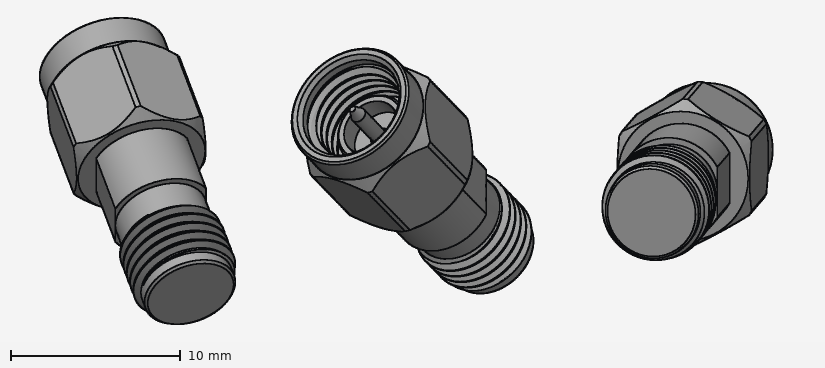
import cadquery as cq
import math

TOTAL_LENGTH = 18.75

COLLAR_DIA = 7.76
COLLAR_LENGTH = 2.0
COLLAR_CHAMFER = 0.13
HEX_SIDES = 6
HEX_ACROSS_FLATS = 7.94
HEX_CORNER_DIA = 8.99
HEX_END = 8.37
HEX_FACE_DIA = 7.8
HEX_BEVEL_LENGTH = 0.73

MOUTH_DIA = 6.85
MOUTH_DEPTH = 0.25
NUT_FLOOR = 4.2
NUT_THREAD_START = 0.8

SLEEVE_FRONT = 2.78
SLEEVE_DIA = 4.45
SLEEVE_CHAMFER = 0.13
SLEEVE_BORE_DIA = 3.5
PIN_DIA = 0.94
PIN_FRONT = 0.43
PIN_TIP_DIA = 0.38
PIN_TIP_LENGTH = 0.75
PIN_SHOULDER_DIA = 1.19
PIN_SHOULDER_LENGTH = 0.2

BODY_END = 12.43
BODY_DIA = 6.35
BODY_FLATS = 5.58
NECK_CHAMFER = 0.15

THREAD_MAJOR_DIA = 6.35
THREAD_MINOR_DIA = 5.58
INCH = 25.4
THREADS_PER_INCH = 36
THREAD_PITCH = INCH / THREADS_PER_INCH
THREAD_HALF_ANGLE = math.radians(30)
THREAD_CREST = 0.1
THREAD_OVERLAP = 0.05
JACK_THREAD_START = 14.19
JACK_THREAD_END = 17.97
JACK_CREST_AT_TOP = 14.57
NUT_GROOVE_AT_TOP = 1.0


def revolve_about_x(points):
    """Solid of revolution about X from a closed (x, radius) outline."""
    return cq.Workplane("XY").polyline(points).close().revolve(360, (0, 0, 0), (1, 0, 0))


def cylinder(start, end, diameter):
    """Round bar about X from start to end."""
    return cq.Workplane("YZ", origin=(start, 0, 0)).circle(diameter / 2).extrude(end - start)


def helical_ridge(start, end, crest_at_top):
    """Right-handed V ridge covering start..end, with one crest at +Z where x = crest_at_top."""
    major = THREAD_MAJOR_DIA / 2
    root = THREAD_MINOR_DIA / 2 - THREAD_OVERLAP
    half_crest = THREAD_CREST / 2
    half_base = half_crest + (major - root) * math.tan(THREAD_HALF_ANGLE)

    crest_at_y = crest_at_top - THREAD_PITCH / 4
    turns_before = math.ceil((crest_at_y - start) / THREAD_PITCH) + 1
    first = crest_at_y - turns_before * THREAD_PITCH
    turns = math.ceil((end - first) / THREAD_PITCH) + 1

    path = cq.Workplane("XY").add(cq.Wire.makeHelix(THREAD_PITCH, turns * THREAD_PITCH, root))
    ridge = (
        cq.Workplane("XZ")
        .polyline([(root, -half_base), (major, -half_crest), (major, half_crest), (root, half_base)])
        .close()
        .sweep(path, isFrenet=True)
    )
    ridge = ridge.rotate((0, 0, 0), (1, 1, 1), 120)
    return ridge.translate((first, 0, 0))


def make_nut():
    """Round collar and hexagon, with the hexagon corners turned round and bevelled at both ends."""
    face_radius = HEX_FACE_DIA / 2
    corner_radius = HEX_CORNER_DIA / 2
    envelope = revolve_about_x([
        (COLLAR_LENGTH, 0),
        (COLLAR_LENGTH, face_radius),
        (COLLAR_LENGTH + HEX_BEVEL_LENGTH, corner_radius),
        (HEX_END - HEX_BEVEL_LENGTH, corner_radius),
        (HEX_END, face_radius),
        (HEX_END, 0),
    ])
    across_corners = HEX_ACROSS_FLATS / math.cos(math.pi / HEX_SIDES)
    hexagon = (
        cq.Workplane("YZ", origin=(COLLAR_LENGTH, 0, 0))
        .transformed(rotate=(0, 0, 90))
        .polygon(HEX_SIDES, across_corners)
        .extrude(HEX_END - COLLAR_LENGTH)
        .intersect(envelope)
    )
    collar = cylinder(0, COLLAR_LENGTH, COLLAR_DIA).faces("<X").chamfer(COLLAR_CHAMFER)
    return collar.union(hexagon)


def make_nut_cavity():
    """Chamfered mouth, plain bore, 45 degree lead-in and threaded bore with a flat floor."""
    major = THREAD_MAJOR_DIA / 2
    minor = THREAD_MINOR_DIA / 2
    bore = revolve_about_x([
        (0, 0),
        (0, MOUTH_DIA / 2),
        (MOUTH_DEPTH, major),
        (NUT_THREAD_START, major),
        (NUT_THREAD_START + major - minor, minor),
        (NUT_FLOOR, minor),
        (NUT_FLOOR, 0),
    ])
    groove = helical_ridge(NUT_THREAD_START, NUT_FLOOR, NUT_GROOVE_AT_TOP)
    groove = groove.intersect(cylinder(NUT_THREAD_START, NUT_FLOOR, HEX_ACROSS_FLATS))
    return bore.union(groove)


def make_contacts():
    """Hollow outer contact and the pointed centre pin, both standing on the nut floor."""
    sleeve = cylinder(SLEEVE_FRONT, NUT_FLOOR, SLEEVE_DIA).faces("<X").chamfer(SLEEVE_CHAMFER)
    sleeve = sleeve.cut(cylinder(SLEEVE_FRONT, NUT_FLOOR, SLEEVE_BORE_DIA))
    shoulder_front = NUT_FLOOR - PIN_SHOULDER_LENGTH
    pin = revolve_about_x([
        (PIN_FRONT, 0),
        (PIN_FRONT, PIN_TIP_DIA / 2),
        (PIN_FRONT + PIN_TIP_LENGTH, PIN_DIA / 2),
        (shoulder_front, PIN_DIA / 2),
        (shoulder_front, PIN_SHOULDER_DIA / 2),
        (NUT_FLOOR, PIN_SHOULDER_DIA / 2),
        (NUT_FLOOR, 0),
    ])
    return sleeve, pin


def make_body():
    """Body with two wrench flats facing +Y and -Y, and the round neck that carries the jack thread."""
    length = BODY_END - HEX_END
    flats = cq.Workplane("XY").box(length, BODY_FLATS, BODY_DIA, centered=(False, True, True))
    body = cylinder(HEX_END, BODY_END, BODY_DIA).intersect(flats.translate((HEX_END, 0, 0)))
    neck = cylinder(HEX_END, TOTAL_LENGTH, THREAD_MINOR_DIA).faces(">X").chamfer(NECK_CHAMFER)
    return body.union(neck)


def make_jack_thread():
    """External ridge whose ends run out on 45 degree cones."""
    minor = THREAD_MINOR_DIA / 2
    rise = THREAD_MAJOR_DIA / 2 - minor + THREAD_OVERLAP
    envelope = revolve_about_x([
        (JACK_THREAD_START, 0),
        (JACK_THREAD_START, minor),
        (JACK_THREAD_START + rise, minor + rise),
        (JACK_THREAD_END - rise, minor + rise),
        (JACK_THREAD_END, minor),
        (JACK_THREAD_END, 0),
    ])
    ridge = helical_ridge(JACK_THREAD_START, JACK_THREAD_END, JACK_CREST_AT_TOP)
    return ridge.intersect(envelope)


sleeve, pin = make_contacts()
result = make_nut().cut(make_nut_cavity()).union(sleeve).union(pin)
result = result.union(make_body()).union(make_jack_thread())